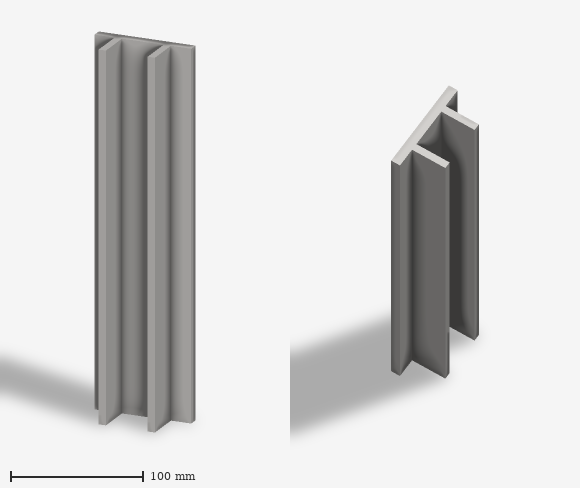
import cadquery as cq

length = 300.0
plate_width = 80.0
plate_thickness = 8.0
total_depth = 38.0
rib_thickness = 6.0
rib_spacing = 40.5

rib_depth = total_depth - plate_thickness


def block(width, depth, center_x, min_y):
    """Full-length bar centred on center_x, reaching from min_y towards +Y."""
    return (
        cq.Workplane("XY")
        .box(width, depth, length, centered=(True, False, False))
        .translate((center_x, min_y, 0))
    )


result = block(plate_width, plate_thickness, 0, rib_depth)

for side in (-1, 1):
    rib = block(rib_thickness, rib_depth, side * rib_spacing / 2, 0)
    result = result.union(rib)